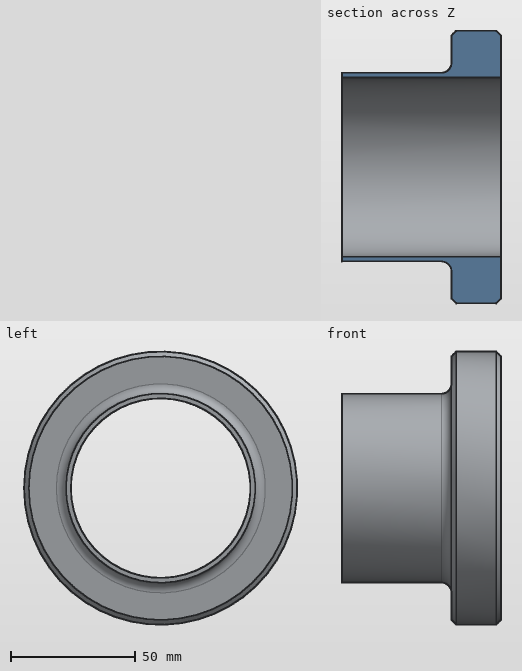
import cadquery as cq

total_length = 64.0
tube_diameter = 76.1
bore_diameter = 72.1
flange_diameter = 110.0
flange_thickness = 20.0
flange_chamfer = 2.0
root_fillet = 4.0

tube_length = total_length - flange_thickness


def disc(diameter, start_x, length):
    """Solid cylinder along +X, starting at start_x."""
    return cq.Workplane("YZ", origin=(start_x, 0, 0)).circle(diameter / 2).extrude(length)


def chamfered_flange():
    """Flange ring blank with both rims chamfered."""
    flange = disc(flange_diameter, tube_length, flange_thickness)
    return flange.edges("%CIRCLE").chamfer(flange_chamfer)


def fillet_root(body):
    """Round the inside corner where the tube meets the flange face."""
    corner = cq.selectors.RadiusNthSelector(0)
    return body.faces("<X[1]").edges(corner).fillet(root_fillet)


tube = disc(tube_diameter, 0, tube_length)
body = fillet_root(chamfered_flange().union(tube))
bore = disc(bore_diameter, 0, total_length)

result = body.cut(bore)